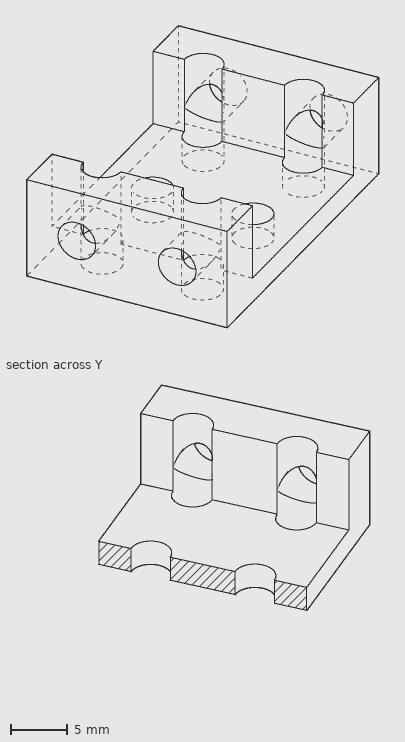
import cadquery as cq

length = 30.0
pitch = length / 3
width = 2 * pitch
height = pitch
wall_thickness = pitch / 2
floor_thickness = pitch / 4
hole_diameter = 3.75

body = cq.Workplane("XY").box(width, length, height, centered=(True, True, False))
channel = (
    cq.Workplane("XY")
    .workplane(offset=floor_thickness)
    .rect(width, length - 2 * wall_thickness)
    .extrude(height - floor_thickness)
)

vertical_holes = (
    cq.Workplane("XY")
    .rarray(pitch, pitch, 2, 3)
    .circle(hole_diameter / 2)
    .extrude(height)
)

wall_holes = (
    cq.Workplane("XZ", origin=(0, 0, height / 2))
    .rarray(pitch, pitch, 2, 1)
    .circle(hole_diameter / 2)
    .extrude(length / 2, both=True)
)

result = body.cut(channel).cut(vertical_holes).cut(wall_holes)